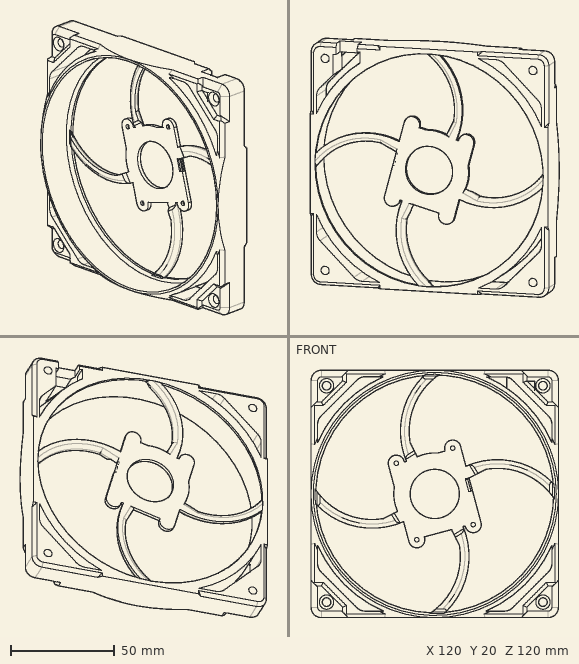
import cadquery as cq
import math

SIDE = 120.0
DEPTH = 20.0
HALF = SIDE / 2
FRONT = -DEPTH / 2
BACK = DEPTH / 2
CORNER_RADIUS = 5.0

FLANGE_FRONT = -7.1
EDGE_CHAMFER = 1.8
WALL = 3.2
REAR_BUMP_HALF = 24.6

RIM_OUTER_R = 60.0
BORE_R = 58.9
OUTLET_R = 57.6
OUTLET_TAPER_START = 6.7
OUTLET_LAND = 1.5
RING_OUTER_R = 62.0

WINDOW_DIAGONAL = 92.9
WINDOW_FILLET = 6.0
PAD_DEPTH = 1.8
PAD_FLOOR = FLANGE_FRONT + PAD_DEPTH
PAD_WALL_SLOPE = 45.0
PAD_INNER = 42.8
PAD_DIAGONAL = 97.0
PAD_CHAMFER = 3.2
PAD_MITRE = 41.9
SCREW_OFFSET = 52.5
SCREW_R = 2.0
SCREW_SINK_R = 3.5
SCREW_SINK_DEPTH = 1.8

CABLE_X = 41.6
CABLE_WIDTH = 10.8
CABLE_DEPTH = 7.2
CHANNEL_WIDTH = 13.5
CHANNEL_ROOF = 54.6
CHANNEL_CHAMFER = (CHANNEL_WIDTH - CABLE_WIDTH) / 2

PLATE_TURN = 15.0
PLATE_THICKNESS = 2.0
PLATE_FRONT = BACK - PLATE_THICKNESS
PLATE_HALF_HEIGHT = 18.8
LUG_X = 14.2
LUG_Z = 19.2
LUG_R = 4.0
PLATE_HALF_WIDTH = LUG_X + LUG_R
PLATE_BULGE_R = 19.9
BULGE_TURN = -45.0
PLATE_HOLE_R = 11.9
PILOT_R = 1.1
PILOT_DEPTH = 1.2
CABLE_NICK_WIDTH = 1.9
CABLE_NICK_LENGTH = 6.5
CABLE_NICK_DEPTH = 0.8
NICK_STEP_WIDTH = 0.8
NICK_STEP_DEPTH = 1.5

SPOKE_COUNT = 4
SPOKE_DROP = 1.5
SPOKE_FRONT = PLATE_FRONT - SPOKE_DROP
SPOKE_CENTER = (30.4, -20.9)
SPOKE_OUTER_R = 37.5
SPOKE_INNER_R = 33.2
SPOKE_FILLET = 2.0
SPOKE_REAR_FILLET = 1.9
SPOKE_ROOT = (15.1, 7.0)
SPOKE_BEND_X = 25.0
SPOKE_END_X = 59.4
FOOT_X = 55.7
ROOT_RAMP = (18.2, 11.6)
ROOT_RAMP_ANGLE = 31.7
TOUCH_TOLERANCE = 0.01


def plane(y):
    """Workplane facing -Y at depth y, with local axes X and Z."""
    return cq.Workplane("XZ", origin=(0, y, 0))


def turned(shape, angle):
    """The shape turned about the Y axis, counterclockwise when seen from -Y."""
    return shape.rotate((0, 0, 0), (0, -1, 0), angle)


def rounded_square(front, back):
    """Square block with rounded corners between two depths."""
    return plane(back).rect(SIDE, SIDE).extrude(back - front).edges("|Y").fillet(CORNER_RADIUS)


def disc(radius, front, back):
    return plane(back).circle(radius).extrude(back - front)


def housing_block():
    """Chamfered block; the middle of each rear edge keeps its full depth."""
    block = rounded_square(FLANGE_FRONT, BACK).faces("<Y or >Y").chamfer(EDGE_CHAMFER)
    bump = (
        cq.Workplane("XY", origin=(0, 0, -HALF))
        .moveTo(-REAR_BUMP_HALF, BACK)
        .lineTo(REAR_BUMP_HALF, BACK)
        .lineTo(REAR_BUMP_HALF + EDGE_CHAMFER, BACK - EDGE_CHAMFER)
        .lineTo(-REAR_BUMP_HALF - EDGE_CHAMFER, BACK - EDGE_CHAMFER)
        .close()
        .extrude(SIDE)
    )
    for angle in (0, 90):
        block = block.union(turned(bump, angle))
    return block


def inlet_cone():
    """Outer 45 degree flare of the inlet, trimmed to the square outline."""
    length = OUTLET_TAPER_START - FRONT
    cone = (
        cq.Workplane("XY")
        .moveTo(0, FRONT)
        .lineTo(RIM_OUTER_R, FRONT)
        .lineTo(RIM_OUTER_R + length, OUTLET_TAPER_START)
        .lineTo(0, OUTLET_TAPER_START)
        .close()
        .revolve(360, (0, 0, 0), (0, 1, 0))
    )
    return cone.intersect(rounded_square(FRONT, BACK))


def bore():
    """Air passage: straight from the front, narrowing near the back."""
    return (
        cq.Workplane("XY")
        .moveTo(0, FRONT)
        .lineTo(BORE_R, FRONT)
        .lineTo(BORE_R, OUTLET_TAPER_START)
        .lineTo(OUTLET_R, BACK - OUTLET_LAND)
        .lineTo(OUTLET_R, BACK)
        .lineTo(0, BACK)
        .close()
        .revolve(360, (0, 0, 0), (0, 1, 0))
    )


def corner_window():
    """Opening between the ring and the upper right corner."""
    edge = HALF - WALL
    knee = WINDOW_DIAGONAL - edge
    opening = (
        plane(BACK)
        .polyline([(0, 0), (edge, 0), (edge, knee), (knee, edge), (0, edge)])
        .close()
        .extrude(DEPTH)
    )
    for x, z in ((edge, knee), (knee, edge)):
        opening = opening.edges(cq.selectors.NearestToPointSelector((x, 0, z))).fillet(WINDOW_FILLET)
    return opening.cut(disc(RING_OUTER_R, FRONT, BACK))


def corner_pad():
    """Recess, outer bevel and screw hole of the upper right corner."""
    beyond = SIDE
    knee = PAD_DIAGONAL - PAD_INNER
    recess = (
        plane(FLANGE_FRONT)
        .polyline([
            (PAD_INNER, beyond), (PAD_INNER, knee), (knee, PAD_INNER),
            (beyond, PAD_INNER), (beyond, beyond),
        ])
        .close()
        .extrude(-PAD_DEPTH, taper=PAD_WALL_SLOPE)
    )
    inner = HALF - PAD_CHAMFER
    mitre = PAD_MITRE + PAD_CHAMFER
    bevel_zone = (
        plane(PAD_FLOOR + PAD_CHAMFER)
        .polyline([(PAD_MITRE, HALF), (mitre, inner), (inner, mitre), (HALF, PAD_MITRE), (HALF, HALF)])
        .close()
        .extrude(PAD_CHAMFER + PAD_DEPTH)
    )
    kept = rounded_square(PAD_FLOOR, BACK).faces("<Y").chamfer(PAD_CHAMFER)
    screw = (
        cq.Workplane("XY")
        .moveTo(0, PAD_FLOOR)
        .lineTo(SCREW_SINK_R, PAD_FLOOR)
        .lineTo(SCREW_R, PAD_FLOOR + SCREW_SINK_DEPTH)
        .lineTo(SCREW_R, BACK)
        .lineTo(0, BACK)
        .close()
        .revolve(360, (0, 0, 0), (0, 1, 0))
        .translate((SCREW_OFFSET, 0, SCREW_OFFSET))
    )
    return recess, bevel_zone.cut(kept), screw


def cable_channel():
    """Passage behind the upper right pad, open to the back and through the top wall."""
    left = CABLE_X - CHANNEL_WIDTH / 2
    right = CABLE_X + CHANNEL_WIDTH / 2
    neck = left + CHANNEL_CHAMFER
    channel = (
        plane(BACK)
        .polyline([
            (left, 0), (right, 0), (right, CHANNEL_ROOF), (neck, CHANNEL_ROOF),
            (neck, CHANNEL_ROOF + CHANNEL_CHAMFER), (left, CHANNEL_ROOF),
        ])
        .close()
        .extrude(BACK - PAD_FLOOR)
        .cut(disc(RING_OUTER_R, FRONT, BACK))
    )
    notch = (
        plane(BACK)
        .center(CABLE_X, HALF)
        .rect(CABLE_WIDTH, 2 * (HALF - CHANNEL_ROOF))
        .extrude(CABLE_DEPTH)
    )
    return channel, notch


def window_web():
    """Wall that closes the upper right window on the left of the cable channel."""
    left_edge = CABLE_X - CHANNEL_WIDTH / 2
    return plane(BACK).rect(left_edge, HALF, centered=False).extrude(CABLE_DEPTH)


def make_frame():
    """Square housing with its inlet ring, as one body."""
    frame = housing_block().union(inlet_cone())
    for quarter in range(4):
        window = turned(corner_window(), 90 * quarter)
        if quarter == 0:
            window = window.cut(window_web())
        frame = frame.cut(window)
        for cutter in corner_pad():
            frame = frame.cut(turned(cutter, 90 * quarter))
    for cutter in cable_channel():
        frame = frame.cut(cutter)
    return frame.cut(bore())


def motor_plate():
    """Turned plate with four lugs, a rounded bulge on its upper left half and a cable nick."""
    lugs = [(x, z) for x in (-LUG_X, LUG_X) for z in (-LUG_Z, LUG_Z)]
    plate = plane(BACK).rect(2 * PLATE_HALF_WIDTH, 2 * PLATE_HALF_HEIGHT).extrude(PLATE_THICKNESS)
    plate = plate.union(plane(BACK).pushPoints(lugs).circle(LUG_R).extrude(PLATE_THICKNESS))
    nick = (
        plane(PLATE_FRONT)
        .center(PLATE_HALF_WIDTH, 0)
        .rect(2 * CABLE_NICK_WIDTH, CABLE_NICK_LENGTH)
        .extrude(-CABLE_NICK_DEPTH)
    )
    nick_step = (
        plane(PLATE_FRONT)
        .center(PLATE_HALF_WIDTH, 0)
        .rect(2 * NICK_STEP_WIDTH, CABLE_NICK_LENGTH)
        .extrude(-NICK_STEP_DEPTH)
    )
    plate = plate.cut(nick).cut(nick_step)
    plate = plate.cut(plane(PLATE_FRONT).pushPoints(lugs).circle(PILOT_R).extrude(-PILOT_DEPTH))
    plate = turned(plate, PLATE_TURN)
    bulge = (
        plane(BACK)
        .moveTo(0, -PLATE_BULGE_R)
        .threePointArc((-PLATE_BULGE_R, 0), (0, PLATE_BULGE_R))
        .close()
        .extrude(PLATE_THICKNESS)
    )
    plate = plate.union(turned(bulge, BULGE_TURN))
    return plate.cut(disc(PLATE_HOLE_R, PLATE_FRONT, BACK))


def arc_height(radius, x):
    """Z of a spoke edge arc at a given X."""
    return SPOKE_CENTER[1] + math.sqrt(radius ** 2 - (x - SPOKE_CENTER[0]) ** 2)


def arc_point(radius, x):
    return (x, arc_height(radius, x))


def spoke():
    """Curved bar rounded along its front outer and rear inner edges, stepped down at both ends."""
    root_x, root_z = SPOKE_ROOT
    center_x = SPOKE_CENTER[0]
    bar = (
        plane(BACK)
        .moveTo(root_x, root_z)
        .lineTo(*arc_point(SPOKE_OUTER_R, root_x))
        .threePointArc(arc_point(SPOKE_OUTER_R, center_x), arc_point(SPOKE_OUTER_R, SPOKE_END_X))
        .lineTo(*arc_point(SPOKE_INNER_R, SPOKE_END_X))
        .threePointArc(arc_point(SPOKE_INNER_R, center_x), arc_point(SPOKE_INNER_R, SPOKE_BEND_X))
        .close()
        .extrude(BACK - SPOKE_FRONT)
    )
    bar = bar.faces("<Y").edges(cq.selectors.RadiusNthSelector(-1)).fillet(SPOKE_FILLET)
    bend = cq.Vertex.makeVertex(SPOKE_BEND_X, BACK, arc_height(SPOKE_INNER_R, SPOKE_BEND_X))
    bar = (
        bar.faces(">Y")
        .edges()
        .filter(lambda edge: edge.distance(bend) < TOUCH_TOLERANCE)
        .fillet(SPOKE_REAR_FILLET)
    )
    ramp = (
        cq.Workplane("XY", origin=(0, 0, -HALF))
        .moveTo(0, SPOKE_FRONT)
        .lineTo(SPOKE_DROP, PLATE_FRONT)
        .lineTo(HALF, PLATE_FRONT)
        .lineTo(HALF, SPOKE_FRONT)
        .close()
        .extrude(SIDE)
    )
    foot_cut = ramp.translate((FOOT_X, 0, 0))
    root_turn = 180 + ROOT_RAMP_ANGLE
    ramp_top = (
        ROOT_RAMP[0] + SPOKE_DROP * math.cos(math.radians(ROOT_RAMP_ANGLE)),
        0,
        ROOT_RAMP[1] + SPOKE_DROP * math.sin(math.radians(ROOT_RAMP_ANGLE)),
    )
    root_cut = turned(ramp, root_turn).translate(ramp_top)
    return bar.cut(foot_cut).cut(root_cut)


def make_motor_mount():
    """Motor plate and spokes, as one body whose feet meet the wall of the bore."""
    mount = motor_plate()
    for index in range(SPOKE_COUNT):
        mount = mount.union(turned(spoke(), index * 360 / SPOKE_COUNT))
    return mount.intersect(bore())


frame = make_frame()
motor_mount = make_motor_mount()
result = cq.Compound.makeCompound([frame.val(), motor_mount.val()])